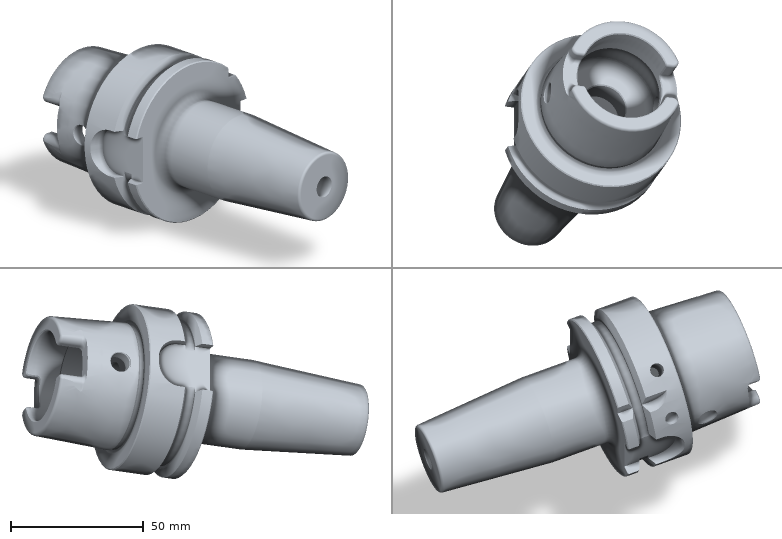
import cadquery as cq
import math


SHANK_LENGTH = 32.0
TAPER_SLOPE = 0.05
TAPER_GAUGE_X = -6.3
TAPER_GAUGE_RADIUS = 24.0
SHANK_END_FILLET = 1.1
TAPER_TOP_X = -1.8
RELIEF_START_X = -1.2
RELIEF_RADIUS = 23.8
FACE_RELIEF_DEPTH = 0.3
FACE_RELIEF_INNER_RADIUS = 24.6
FACE_RELIEF_OUTER_RADIUS = 25.4

FLANGE_RADIUS = 31.5
FLANGE_WIDTH = 26.0
FLANGE_CHAMFER = 0.4
GROOVE_CENTER_X = 18.0
GROOVE_BOTTOM_WIDTH = 3.8
GROOVE_MOUTH_WIDTH = 7.0
GROOVE_SHOULDER_RADIUS = 28.4
GROOVE_RADIUS = 27.4

NOSE_LENGTH = 95.0
NOSE_RADIUS = 17.0
NOSE_END_RADIUS = 13.5
NOSE_ANGLE = 4.5
NOSE_ROOT_FILLET = 3.0
NOSE_END_FILLET = 1.0

SHANK_BORE_RADIUS = 17.2
SHANK_BORE_DEPTH = 28.5
SHANK_BORE_EDGE_CHAMFER = 0.4
CLAMP_SHOULDER_DEPTH = 13.2
CLAMP_RADIUS = 19.0
CLAMP_SHOULDER_ANGLE = 60.0
CLAMP_FLOOR_FILLET = 3.0
COUNTERBORE_RADIUS = 8.7
COUNTERBORE_DEPTH = 10.0
COUNTERBORE_CHAMFER = 0.4
THROUGH_RADIUS = 4.1

CROSS_HOLE_X = -9.0
CROSS_HOLE_RADIUS = 3.8
CROSS_HOLE_CHAMFER = 0.3

NOTCH_DEPTHS = {-1: 10.0, 1: 5.8}
NOTCH_HALF_WIDTH = 6.3
NOTCH_LIP_RADIUS = 2.5
NOTCH_LIP_START_Y = 18.5
NOTCH_FLARE_ANGLE = 26.0
NOTCH_FLOOR_FILLET = 1.4

SLOT_HALF_WIDTH = 9.25
SLOT_FLOOR_Y = 26.4
SLOT_START_X = 3.5
SLOT_CORNER_RADIUS = 8.25
SLOT_END_SLANT = 1.5

INDEX_FLOOR_Y = 19.9
INDEX_WALL_Z = 20.2
INDEX_CORNER_RADIUS = 7.8
INDEX_CORNER_X = 12.9

RADIAL_HOLE_X = 7.0
RADIAL_HOLE_RADIUS = 2.6
RADIAL_HOLE_ANGLES = (24.0, 60.0)
RADIAL_HOLE_DEPTH = 12.0

TOLERANCE = 0.001
CLEARANCE = 5.0


def taper_radius(x):
    return TAPER_GAUGE_RADIUS + TAPER_SLOPE * (x - TAPER_GAUGE_X)


def make_body():
    shank_end = -SHANK_LENGTH
    bottom_half = GROOVE_BOTTOM_WIDTH / 2
    mouth_half = GROOVE_MOUTH_WIDTH / 2
    cone_length = (NOSE_RADIUS - NOSE_END_RADIUS) / math.tan(math.radians(NOSE_ANGLE))
    outline = (
        cq.Workplane("XY")
        .moveTo(shank_end, 0)
        .lineTo(shank_end, taper_radius(shank_end))
        .lineTo(TAPER_TOP_X, taper_radius(TAPER_TOP_X))
        .lineTo(RELIEF_START_X, RELIEF_RADIUS)
        .lineTo(FACE_RELIEF_DEPTH, RELIEF_RADIUS)
        .lineTo(FACE_RELIEF_DEPTH, FACE_RELIEF_INNER_RADIUS)
        .lineTo(0, FACE_RELIEF_OUTER_RADIUS)
        .lineTo(0, FLANGE_RADIUS - FLANGE_CHAMFER)
        .lineTo(FLANGE_CHAMFER, FLANGE_RADIUS)
        .lineTo(GROOVE_CENTER_X - mouth_half, FLANGE_RADIUS)
        .lineTo(GROOVE_CENTER_X - bottom_half, GROOVE_SHOULDER_RADIUS)
        .lineTo(GROOVE_CENTER_X - bottom_half, GROOVE_RADIUS)
        .lineTo(GROOVE_CENTER_X + bottom_half, GROOVE_RADIUS)
        .lineTo(GROOVE_CENTER_X + bottom_half, GROOVE_SHOULDER_RADIUS)
        .lineTo(GROOVE_CENTER_X + mouth_half, FLANGE_RADIUS)
        .lineTo(FLANGE_WIDTH - FLANGE_CHAMFER, FLANGE_RADIUS)
        .lineTo(FLANGE_WIDTH, FLANGE_RADIUS - FLANGE_CHAMFER)
        .lineTo(FLANGE_WIDTH, NOSE_RADIUS + NOSE_ROOT_FILLET)
        .radiusArc((FLANGE_WIDTH + NOSE_ROOT_FILLET, NOSE_RADIUS), -NOSE_ROOT_FILLET)
        .lineTo(NOSE_LENGTH - cone_length, NOSE_RADIUS)
        .lineTo(NOSE_LENGTH, NOSE_END_RADIUS)
        .lineTo(NOSE_LENGTH, 0)
        .close()
    )
    body = outline.revolve(360, (0, 0, 0), (1, 0, 0))
    return body.faces(">X").edges().fillet(NOSE_END_FILLET)


def make_bores():
    shoulder_x = -SHANK_LENGTH + CLAMP_SHOULDER_DEPTH
    shoulder_length = (CLAMP_RADIUS - SHANK_BORE_RADIUS) / math.tan(math.radians(CLAMP_SHOULDER_ANGLE))
    floor_x = -SHANK_LENGTH + SHANK_BORE_DEPTH
    counterbore_x = floor_x + COUNTERBORE_DEPTH
    outline = (
        cq.Workplane("XY")
        .moveTo(-SHANK_LENGTH, 0)
        .lineTo(-SHANK_LENGTH, SHANK_BORE_RADIUS)
        .lineTo(shoulder_x, SHANK_BORE_RADIUS)
        .lineTo(shoulder_x + shoulder_length, CLAMP_RADIUS)
        .lineTo(floor_x - CLAMP_FLOOR_FILLET, CLAMP_RADIUS)
        .radiusArc((floor_x, CLAMP_RADIUS - CLAMP_FLOOR_FILLET), CLAMP_FLOOR_FILLET)
        .lineTo(floor_x, COUNTERBORE_RADIUS + COUNTERBORE_CHAMFER)
        .lineTo(floor_x + COUNTERBORE_CHAMFER, COUNTERBORE_RADIUS)
        .lineTo(counterbore_x, COUNTERBORE_RADIUS)
        .lineTo(counterbore_x, THROUGH_RADIUS)
        .lineTo(NOSE_LENGTH, THROUGH_RADIUS)
        .lineTo(NOSE_LENGTH, 0)
        .close()
    )
    return outline.revolve(360, (0, 0, 0), (1, 0, 0))


def make_cross_hole():
    """Cross hole along Y with a countersink at each outer mouth."""
    mouth_y = math.sqrt(taper_radius(CROSS_HOLE_X) ** 2 - CROSS_HOLE_RADIUS ** 2)
    wide_radius = CROSS_HOLE_RADIUS + CROSS_HOLE_CHAMFER
    sink_y = mouth_y - CROSS_HOLE_CHAMFER
    profile = (
        cq.Workplane("XY", origin=(CROSS_HOLE_X, 0, 0))
        .moveTo(0, 0)
        .lineTo(CROSS_HOLE_RADIUS, 0)
        .lineTo(CROSS_HOLE_RADIUS, sink_y)
        .lineTo(wide_radius, mouth_y)
        .lineTo(wide_radius, FLANGE_RADIUS)
        .lineTo(0, FLANGE_RADIUS)
        .close()
    )
    half = profile.revolve(360, (0, 0, 0), (0, 1, 0))
    return half.union(half.mirror("XZ"))


def make_shank_notch(side):
    """Cutter for one driving notch, with flared lips and a filleted floor."""
    flare = math.radians(NOTCH_FLARE_ANGLE)
    lip_center_z = NOTCH_HALF_WIDTH + NOTCH_LIP_RADIUS
    lip_crest_y = NOTCH_LIP_START_Y + NOTCH_LIP_RADIUS
    lip_end_y = NOTCH_LIP_START_Y + NOTCH_LIP_RADIUS * math.cos(flare)
    lip_end_z = lip_center_z + NOTCH_LIP_RADIUS * math.sin(flare)
    flare_y = lip_end_y - CLEARANCE * math.tan(flare)
    flare_z = lip_end_z + CLEARANCE
    outer_y = TAPER_GAUGE_RADIUS + CLEARANCE
    length = NOTCH_DEPTHS[side] + CLEARANCE
    cutter = (
        cq.Workplane("YZ", origin=(-SHANK_LENGTH - CLEARANCE, 0, 0))
        .moveTo(0, -NOTCH_HALF_WIDTH)
        .lineTo(NOTCH_LIP_START_Y, -NOTCH_HALF_WIDTH)
        .threePointArc((lip_crest_y, -lip_center_z), (lip_end_y, -lip_end_z))
        .lineTo(flare_y, -flare_z)
        .lineTo(outer_y, -flare_z)
        .lineTo(outer_y, flare_z)
        .lineTo(flare_y, flare_z)
        .lineTo(lip_end_y, lip_end_z)
        .threePointArc((lip_crest_y, lip_center_z), (NOTCH_LIP_START_Y, NOTCH_HALF_WIDTH))
        .lineTo(0, NOTCH_HALF_WIDTH)
        .close()
        .extrude(length)
    )
    cutter = cutter.faces(">X").edges("not(<Y or >Y or <Z or >Z)").fillet(NOTCH_FLOOR_FILLET)
    return cutter if side > 0 else cutter.mirror("XZ")


def make_flange_slot(side):
    """Cutter for one driving slot; its rounded end leans toward the shank at the rim."""
    depth = FLANGE_RADIUS + CLEARANCE - SLOT_FLOOR_Y
    lean = SLOT_END_SLANT * depth / (FLANGE_RADIUS - SLOT_FLOOR_Y)
    start_x = SLOT_START_X + SLOT_END_SLANT
    arc_x = start_x + SLOT_CORNER_RADIUS
    end_x = FLANGE_WIDTH + CLEARANCE + lean
    tip_z = SLOT_HALF_WIDTH - SLOT_CORNER_RADIUS
    outline = (
        cq.Workplane("XZ", origin=(0, side * SLOT_FLOOR_Y, 0))
        .moveTo(end_x, -SLOT_HALF_WIDTH)
        .lineTo(arc_x, -SLOT_HALF_WIDTH)
        .radiusArc((start_x, -tip_z), SLOT_CORNER_RADIUS)
        .lineTo(start_x, tip_z)
        .radiusArc((arc_x, SLOT_HALF_WIDTH), SLOT_CORNER_RADIUS)
        .lineTo(end_x, SLOT_HALF_WIDTH)
        .close()
    )
    direction = cq.Vector(-lean, side * depth, 0)
    return cq.Workplane(cq.Solid.extrudeLinear(outline.val(), [], direction))


def make_index_notch():
    """Cutter for the orientation notch, open at the rim and at the nose side of the flange."""
    start_x = INDEX_CORNER_X - INDEX_CORNER_RADIUS
    end_x = FLANGE_WIDTH + CLEARANCE
    height = FLANGE_RADIUS + CLEARANCE - INDEX_WALL_Z
    cutter = (
        cq.Workplane("XY")
        .box(end_x - start_x, FLANGE_RADIUS - INDEX_FLOOR_Y, height, centered=False)
        .translate((start_x, INDEX_FLOOR_Y, INDEX_WALL_Z))
    )
    return cutter.edges("|Y and <X and <Z").fillet(INDEX_CORNER_RADIUS)


def make_radial_hole(angle):
    hole = (
        cq.Workplane("XY", origin=(RADIAL_HOLE_X, 0, FLANGE_RADIUS - RADIAL_HOLE_DEPTH))
        .circle(RADIAL_HOLE_RADIUS)
        .extrude(RADIAL_HOLE_DEPTH + CLEARANCE)
    )
    return hole.rotate((0, 0, 0), (1, 0, 0), -angle)


def is_bore_edge(edge):
    """True for the rim of the shank bore, including its run through the driving notches."""
    shoulder_x = -SHANK_LENGTH + CLAMP_SHOULDER_DEPTH
    points = [edge.positionAt(t) for t in (0, 0.5, 1)]
    on_bore = all(abs(math.hypot(p.y, p.z) - SHANK_BORE_RADIUS) < TOLERANCE for p in points)
    above_shoulder = all(p.x < shoulder_x - TOLERANCE for p in points)
    return on_bore and above_shoulder


result = make_body()
for y_side in (-1, 1):
    result = result.cut(make_shank_notch(y_side))
result = result.faces("<X").edges().fillet(SHANK_END_FILLET)
result = result.cut(make_bores())
result = result.edges().filter(is_bore_edge).chamfer(SHANK_BORE_EDGE_CHAMFER)
result = result.cut(make_cross_hole())
for y_side in (-1, 1):
    result = result.cut(make_flange_slot(y_side))
result = result.cut(make_index_notch())
for hole_angle in RADIAL_HOLE_ANGLES:
    result = result.cut(make_radial_hole(hole_angle))